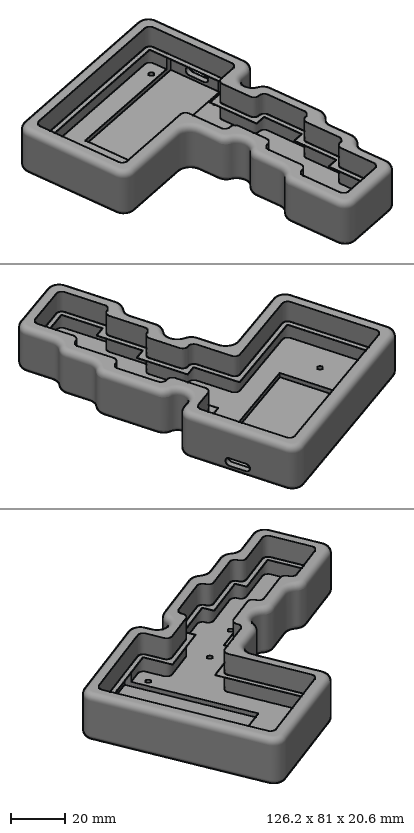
import cadquery as cq
import math

overall_length = 126.2
body_width = 50.0
body_length = 81.0
height = 20.6
column_count = 4
key_pitch = (overall_length - body_width) / column_count
stagger = key_pitch / 4

wall = 5.0
edge_radius = 2.5
cavity_corner_radius = 2.3
key_clearance = 1.0
floor_thickness = 3.5

crest_extension = 1.3

shelf_width = 2 * key_clearance
shelf_thickness = 0.1
shelf_top = 11.2

recess_width = 23.5
recess_start = 25.0
recess_depth = 2.0
recess_into_wall = 2.7
slot_width = 10.1
slot_height = 3.5
slot_above_recess = 1.4

hole_diameter = 2.1
upper_hole_offset = 14.6
upper_hole_y = 70.5
lower_hole_y = 15.5

key_start = body_width - wall - key_clearance
key_bottom = 44.0
column_shifts = [0, stagger, 0, -stagger]
column_edges = [key_start + key_pitch * i for i in range(column_count + 1)]
body_center_x = body_width / 2
recess_floor = floor_thickness - recess_depth


def handle_y(column, offset):
    """Lower and upper Y of a key column grown outward by an offset."""
    bottom = key_bottom + column_shifts[column]
    return bottom - offset, bottom + key_pitch + offset


def stepped_points(inset):
    """Sharp-cornered cavity outline, moved inward by an inset."""
    offset = key_clearance - inset
    left = wall + inset
    right = key_start + offset
    lower = []
    upper = []
    for i in range(column_count):
        bottom, top = handle_y(i, offset)
        start_low = start_high = right
        end_low = end_high = column_edges[-1] + offset
        if i > 0:
            rise = offset * math.copysign(1, column_shifts[i] - column_shifts[i - 1])
            start_low = column_edges[i] + rise
            start_high = column_edges[i] - rise
        if i < column_count - 1:
            rise = offset * math.copysign(1, column_shifts[i + 1] - column_shifts[i])
            end_low = column_edges[i + 1] + rise
            end_high = column_edges[i + 1] - rise
        lower += [(start_low, bottom), (end_low, bottom)]
        upper += [(start_high, top), (end_high, top)]
    body_bottom = [(left, wall + inset), (right, wall + inset)]
    body_top = [(right, body_length - wall - inset), (left, body_length - wall - inset)]
    return body_bottom + lower + upper[::-1] + body_top


def prism(points, bottom, top):
    """Upright solid over a polygon."""
    return cq.Workplane("XY").workplane(offset=bottom).polyline(points).close().extrude(top - bottom)


def bend_run(rise, first_radius, second_radius):
    """Length along X of an S-bend of two tangent arcs."""
    return math.sqrt(2 * (first_radius + second_radius) * rise - rise**2)


def s_bend(path, run, rise, first_radius=wall, second_radius=wall):
    """Continue a path along X with two tangent arcs that shift it sideways."""
    share = first_radius / (first_radius + second_radius)
    path = path.tangentArcPoint((run * share, rise * share))
    return path.tangentArcPoint((run * (1 - share), rise * (1 - share)))


def notch_radius():
    """Radius of the arc that touches the body side, the first column's level and the crest arc."""
    span = column_edges[1] - key_clearance - body_width
    half_sum = span + stagger
    constant = span**2 + stagger**2 - 2 * wall * stagger
    return half_sum - math.sqrt(half_sum**2 - constant)


def outer_block():
    """Rounded outer block of the housing."""
    reach = key_clearance + wall
    low, high = handle_y(0, reach)
    tip_low, tip_high = handle_y(column_count - 1, reach)
    run = bend_run(stagger, wall, wall)
    finger_run = key_pitch / 2 - key_clearance
    notch = notch_radius()
    notch_run = bend_run(stagger, wall, notch)
    crest_end = column_edges[2] + key_clearance + crest_extension

    path = (
        cq.Workplane("XY")
        .moveTo(wall, 0)
        .lineTo(body_width - wall, 0)
        .tangentArcPoint((wall, wall))
        .lineTo(body_width, low - wall)
        .tangentArcPoint((wall, wall))
    )
    path = s_bend(path.lineTo(column_edges[1] + key_clearance, low), finger_run, stagger)
    path = s_bend(path, finger_run, -stagger)
    path = s_bend(path.lineTo(column_edges[3] - key_clearance - run, low), run, -stagger)
    path = (
        path.lineTo(overall_length - wall, tip_low)
        .tangentArcPoint((wall, wall))
        .lineTo(overall_length, tip_high - wall)
        .tangentArcPoint((-wall, wall))
    )
    path = s_bend(path.lineTo(column_edges[3] + key_clearance + run, tip_high), -run, stagger)
    path = s_bend(path.lineTo(crest_end + run, high), -run, stagger)
    path = path.lineTo(column_edges[1] - key_clearance, high + stagger)
    path = s_bend(path, -notch_run, -stagger, wall, notch)
    path = (
        path.tangentArcPoint((-notch, notch))
        .lineTo(body_width, body_length - wall)
        .tangentArcPoint((-wall, wall))
        .lineTo(wall, body_length)
        .tangentArcPoint((-wall, -wall))
        .lineTo(0, wall)
        .tangentArcPoint((wall, -wall))
        .close()
    )
    return path.extrude(height).faces("<Z or >Z").edges().fillet(edge_radius)


def cavity():
    """Room inside the walls, leaving the thin shelf in place."""
    room = prism(stepped_points(0), floor_thickness, height)
    room = room.edges("|Z").fillet(cavity_corner_radius)
    shelf_bottom = shelf_top - shelf_thickness
    layer = (
        cq.Workplane("XY")
        .box(overall_length, body_length, shelf_thickness, centered=False)
        .translate((0, 0, shelf_bottom))
    )
    opening = prism(stepped_points(shelf_width), shelf_bottom, shelf_top)
    shelf = layer.cut(opening)
    return room.cut(shelf)


def floor_recess():
    """Rectangular recess whose far end cuts into the wall below the shelf."""
    length = body_length - wall + recess_into_wall - recess_start
    rise = shelf_top - shelf_thickness - recess_floor
    left = body_center_x - recess_width / 2
    return (
        cq.Workplane("XY")
        .box(recess_width, length, rise, centered=False)
        .translate((left, recess_start, recess_floor))
    )


def connector_slot():
    """Round-ended slot through the far wall."""
    middle = recess_floor + slot_above_recess + slot_height / 2
    return (
        cq.Workplane("XZ", origin=(body_center_x, body_length, middle))
        .slot2D(slot_width, slot_height)
        .extrude(wall)
    )


def screw_holes():
    """Holes through the floor: three in the body, one on each inner key border."""
    key_middle = key_bottom + key_pitch / 2
    centers = [
        (body_center_x - upper_hole_offset, upper_hole_y),
        (body_center_x + upper_hole_offset, upper_hole_y),
        (body_center_x, lower_hole_y),
    ]
    for i in range(1, column_count):
        mean_shift = (column_shifts[i - 1] + column_shifts[i]) / 2
        centers.append((column_edges[i], key_middle + mean_shift))
    return cq.Workplane("XY").pushPoints(centers).circle(hole_diameter / 2).extrude(floor_thickness)


result = outer_block().cut(cavity()).cut(floor_recess()).cut(connector_slot()).cut(screw_holes())